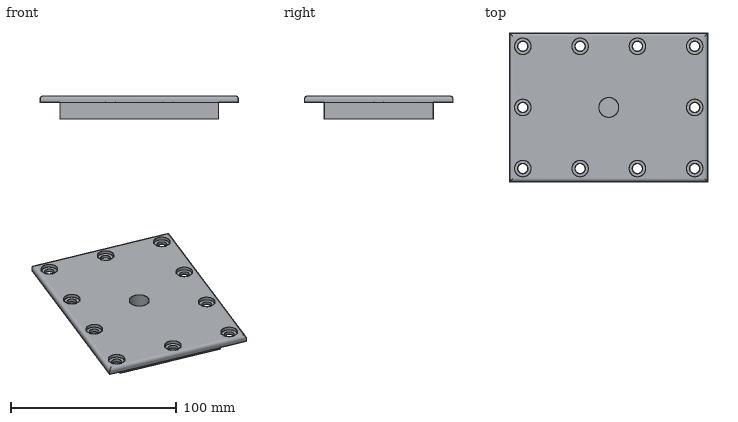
import cadquery as cq

length = 120.0
width = 90.0
total_height = 14.0
plate_thickness = 4.0
edge_round = 2.0

block_length = 96.0
block_width = 66.0
block_height = total_height - plate_thickness

screw_inset = 8.0
screw_diameter = 6.0
head_diameter = 10.0
head_depth = 2.0
screws_along_length = 4
screws_along_width = 3

centre_diameter = 12.0
centre_depth = 12.0


def make_plate():
    """Plate with its underside at Z = 0 and its top edges rounded."""
    plate = cq.Workplane("XY").box(length, width, plate_thickness, centered=(True, True, False))
    return plate.faces(">Z").edges().fillet(edge_round)


def make_block():
    """Rectangular block hanging below the plate."""
    return cq.Workplane("XY").rect(block_length, block_width).extrude(-block_height)


def screw_positions():
    """Evenly spaced points on the border of a rectangular grid."""
    span_x = length - 2 * screw_inset
    span_y = width - 2 * screw_inset
    last_column = screws_along_length - 1
    last_row = screws_along_width - 1
    points = []
    for column in range(screws_along_length):
        for row in range(screws_along_width):
            if column in (0, last_column) or row in (0, last_row):
                x = span_x * (column / last_column - 0.5)
                y = span_y * (row / last_row - 0.5)
                points.append((x, y))
    return points


top_plane = cq.Workplane("XY").workplane(offset=plate_thickness)
screw_holes = top_plane.pushPoints(screw_positions()).circle(screw_diameter / 2).extrude(-plate_thickness)
head_recesses = top_plane.pushPoints(screw_positions()).circle(head_diameter / 2).extrude(-head_depth)
centre_hole = top_plane.circle(centre_diameter / 2).extrude(-centre_depth)

result = make_plate().union(make_block())
result = result.cut(screw_holes).cut(head_recesses).cut(centre_hole)